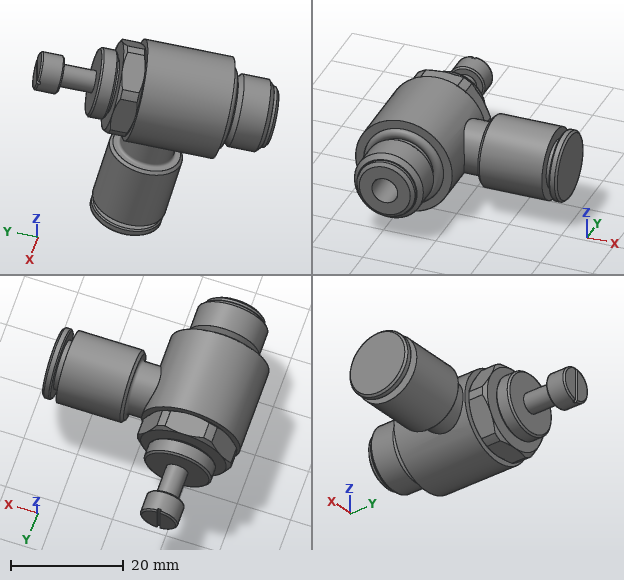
import cadquery as cq


OVERALL_X = 36.75
OVERALL_Y = 43.1
BODY_DIAMETER = 18.5

TIP_Y = -19.83
TIP_LENGTH = 1.08
THREAD_LENGTH = 6.6
THREAD_START_Y = TIP_Y + TIP_LENGTH
THREAD_END_Y = THREAD_START_Y + THREAD_LENGTH
THREADED_END_LENGTH = 9.15
BODY_START_Y = TIP_Y + THREADED_END_LENGTH
BODY_LENGTH = 16.05
BODY_END_Y = BODY_START_Y + BODY_LENGTH
NUT_THICKNESS = 4.1
NUT_END_Y = BODY_END_Y + NUT_THICKNESS
COLLAR_LENGTH = 0.47
KNOB_START_Y = NUT_END_Y + COLLAR_LENGTH
KNOB_LENGTH = 3.0
KNOB_END_Y = KNOB_START_Y + KNOB_LENGTH
HEAD_END_Y = TIP_Y + OVERALL_Y
HEAD_LENGTH = 4.22
HEAD_START_Y = HEAD_END_Y - HEAD_LENGTH

TIP_RADIUS = 5.55
TIP_CHAMFER_LENGTH = 0.5
TIP_CHAMFER_DEPTH = 0.7
THREAD_RADIUS = 6.6
THREAD_CHAMFER = 0.85
UNDERCUT_RADIUS = 5.75
SEAL_RADIUS = 7.6
SEAL_ROUND = (SEAL_RADIUS - UNDERCUT_RADIUS) / 2
SEAL_STEP = 0.17
BORE_RADIUS = 2.45

BODY_RADIUS = BODY_DIAMETER / 2
NUT_SIDES = 6
NUT_ACROSS_FLATS = 16.05
NUT_CORNER_RADIUS = 8.8
NUT_CHAMFER = 0.5
NUT_FACE_RADIUS = NUT_ACROSS_FLATS / 2
COLLAR_RADIUS = 5.0
KNOB_RADIUS = 6.3
KNOB_CHAMFER = 0.35
SCREW_RADIUS = 2.03
HEAD_RADIUS = 3.5
HEAD_CHAMFER = 0.3
SLOT_WIDTH = 0.55
SLOT_DEPTH = 0.6

NECK_RADIUS = 4.9
NECK_FILLET = 0.5
SLEEVE_START_X = 12.33
SLEEVE_LENGTH = 12.45
SLEEVE_END_X = SLEEVE_START_X + SLEEVE_LENGTH
SLEEVE_RADIUS = 6.72
SLEEVE_CHAMFER = 0.5
RELEASE_NECK_RADIUS = 4.6
FLANGE_LENGTH = 1.55
FLANGE_END_X = OVERALL_X - BODY_RADIUS
FLANGE_START_X = FLANGE_END_X - FLANGE_LENGTH
FLANGE_RADIUS = 6.55
FLANGE_INNER_CHAMFER = 0.25
FLANGE_OUTER_CHAMFER = 0.4


def stem_cylinder(radius, start_y, end_y):
    """Cylinder on the Y axis between two stations."""
    return cq.Workplane("XZ", origin=(0, start_y, 0)).circle(radius).extrude(start_y - end_y)


def branch_cylinder(radius, start_x, end_x):
    """Cylinder on the X axis between two stations."""
    return cq.Workplane("YZ", origin=(start_x, 0, 0)).circle(radius).extrude(end_x - start_x)


def threaded_end():
    """Revolved tip, thread, undercut and half-round sealing ring, with the bore through them."""
    seal_edge_y = BODY_START_Y - SEAL_STEP
    profile = (
        cq.Workplane("XY")
        .moveTo(0, TIP_Y)
        .lineTo(TIP_RADIUS - TIP_CHAMFER_DEPTH, TIP_Y)
        .lineTo(TIP_RADIUS, TIP_Y + TIP_CHAMFER_LENGTH)
        .lineTo(TIP_RADIUS, THREAD_START_Y)
        .lineTo(THREAD_RADIUS - THREAD_CHAMFER, THREAD_START_Y)
        .lineTo(THREAD_RADIUS, THREAD_START_Y + THREAD_CHAMFER)
        .lineTo(THREAD_RADIUS, THREAD_END_Y - THREAD_CHAMFER)
        .lineTo(UNDERCUT_RADIUS, THREAD_END_Y)
        .lineTo(UNDERCUT_RADIUS, seal_edge_y)
        .threePointArc(
            (UNDERCUT_RADIUS + SEAL_ROUND, seal_edge_y - SEAL_ROUND),
            (SEAL_RADIUS, seal_edge_y),
        )
        .lineTo(SEAL_RADIUS, BODY_START_Y)
        .lineTo(0, BODY_START_Y)
        .close()
    )
    solid = profile.revolve(360, (0, 0, 0), (0, 1, 0))
    return solid.cut(stem_cylinder(BORE_RADIUS, TIP_Y, BODY_START_Y))


def nut():
    """Hexagon with flats facing +Z and -Z, its corners rounded and chamfered at both ends."""
    hexagon = (
        cq.Workplane("XZ", origin=(0, BODY_END_Y, 0))
        .transformed(rotate=(0, 0, 180 / NUT_SIDES))
        .polygon(NUT_SIDES, NUT_ACROSS_FLATS, circumscribed=True)
        .extrude(-NUT_THICKNESS)
    )
    envelope = (
        stem_cylinder(NUT_CORNER_RADIUS, BODY_END_Y, NUT_END_Y)
        .edges()
        .chamfer(NUT_CHAMFER, NUT_CORNER_RADIUS - NUT_FACE_RADIUS)
    )
    return hexagon.intersect(envelope)


def knob_and_screw():
    """Locking knob on its collar, and the slotted adjusting screw behind it."""
    collar = stem_cylinder(COLLAR_RADIUS, NUT_END_Y, KNOB_START_Y)
    knob = stem_cylinder(KNOB_RADIUS, KNOB_START_Y, KNOB_END_Y).edges().chamfer(KNOB_CHAMFER)
    shank = stem_cylinder(SCREW_RADIUS, KNOB_END_Y, HEAD_START_Y)
    head = stem_cylinder(HEAD_RADIUS, HEAD_START_Y, HEAD_END_Y).edges().chamfer(HEAD_CHAMFER)
    slot = cq.Workplane("XY").box(SLOT_WIDTH, 2 * SLOT_DEPTH, 2 * HEAD_RADIUS)
    head = head.cut(slot.translate((0, HEAD_END_Y, 0)))
    return collar.union(knob).union(shank).union(head)


def branch():
    """Neck flaring into the sleeve, then the release collar with its flange."""
    profile = (
        cq.Workplane("XY")
        .moveTo(0, 0)
        .lineTo(0, NECK_RADIUS)
        .lineTo(SLEEVE_START_X - NECK_FILLET, NECK_RADIUS)
        .radiusArc((SLEEVE_START_X, NECK_RADIUS + NECK_FILLET), -NECK_FILLET)
        .lineTo(SLEEVE_START_X, SLEEVE_RADIUS - SLEEVE_CHAMFER)
        .lineTo(SLEEVE_START_X + SLEEVE_CHAMFER, SLEEVE_RADIUS)
        .lineTo(SLEEVE_END_X, SLEEVE_RADIUS)
        .lineTo(SLEEVE_END_X, 0)
        .close()
    )
    sleeve = profile.revolve(360, (0, 0, 0), (1, 0, 0))
    release_neck = branch_cylinder(RELEASE_NECK_RADIUS, SLEEVE_END_X, FLANGE_START_X)
    flange = (
        branch_cylinder(FLANGE_RADIUS, FLANGE_START_X, FLANGE_END_X)
        .edges("<X")
        .chamfer(FLANGE_INNER_CHAMFER)
        .edges(">X")
        .chamfer(FLANGE_OUTER_CHAMFER)
    )
    return sleeve.union(release_neck).union(flange)


body = stem_cylinder(BODY_RADIUS, BODY_START_Y, BODY_END_Y)
result = body.union(branch()).union(threaded_end()).union(nut()).union(knob_and_screw())